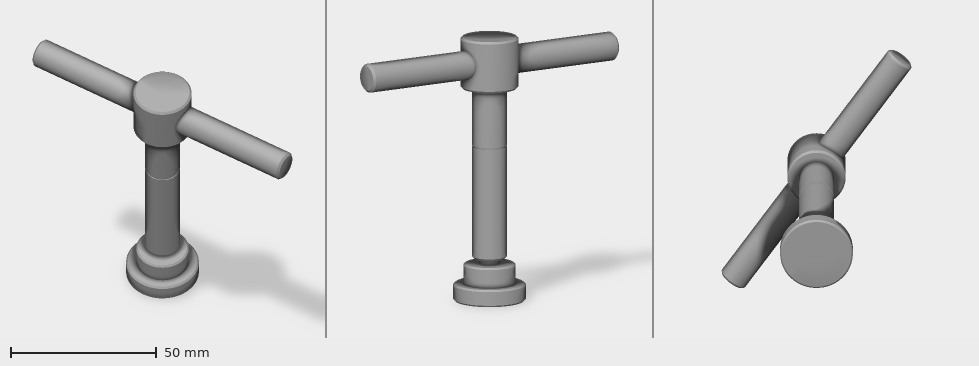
import cadquery as cq

flange_diameter = 25.0
flange_height = 6.0
collar_diameter = 18.0
collar_height = 7.0
pad_chamfer = 0.6

neck_diameter = 7.2
neck_height = 1.5
shaft_diameter = 12.0
threaded_length = 40.0
plain_length = 20.0
tip_chamfer = 1.0
groove_depth = 0.3
groove_width = 0.6

head_diameter = 20.0
head_height = 18.0
head_chamfer = 0.7
bar_diameter = 10.0
bar_length = 100.0
bar_chamfer = 0.8
bar_below_top = 9.0

collar_base = flange_height
neck_base = collar_base + collar_height
shaft_base = neck_base + neck_height
groove_top = shaft_base + threaded_length
head_base = groove_top + plain_length
bar_level = head_base + head_height - bar_below_top


def cylinder(diameter, height, base):
    """Upright cylinder on the Z axis."""
    return cq.Workplane("XY").workplane(offset=base).circle(diameter / 2).extrude(height)


def make_pad():
    flange = cylinder(flange_diameter, flange_height, 0).edges().chamfer(pad_chamfer)
    collar = cylinder(collar_diameter, collar_height, collar_base).faces(">Z").edges().chamfer(pad_chamfer)
    return flange.union(collar)


def make_groove():
    """Shallow ring cut between the threaded and plain lengths of the shaft."""
    groove_base = groove_top - groove_width
    ring = cylinder(shaft_diameter, groove_width, groove_base)
    core = cylinder(shaft_diameter - 2 * groove_depth, groove_width, groove_base)
    return ring.cut(core)


def make_spindle():
    neck = cylinder(neck_diameter, neck_height, neck_base)
    shaft = cylinder(shaft_diameter, head_base - shaft_base, shaft_base)
    shaft = shaft.faces("<Z").edges().chamfer(tip_chamfer)
    return neck.union(shaft.cut(make_groove()))


def make_head():
    return cylinder(head_diameter, head_height, head_base).edges().chamfer(head_chamfer)


def make_bar():
    bar = cq.Workplane("YZ").circle(bar_diameter / 2).extrude(bar_length / 2, both=True)
    return bar.faces("<X or >X").edges().chamfer(bar_chamfer).translate((0, 0, bar_level))


result = make_pad().union(make_spindle()).union(make_head()).union(make_bar())